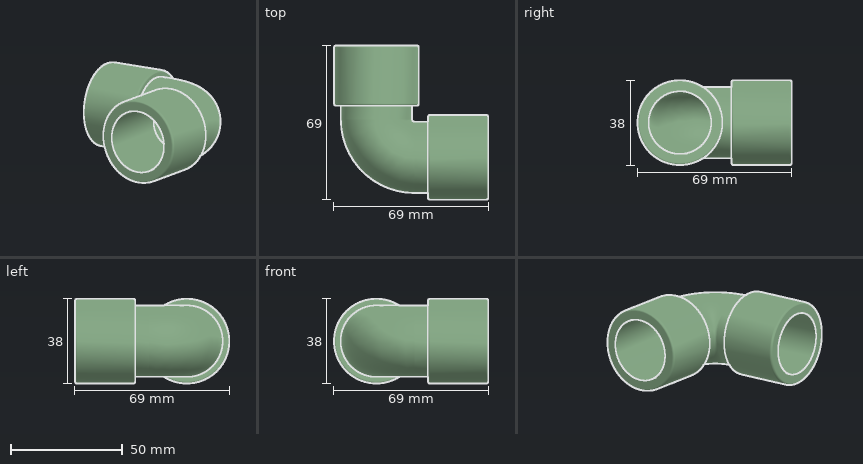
import cadquery as cq

neck_diameter = 32.0
collar_diameter = 38.0
bore_diameter = 28.0
bend_radius = 17.0
neck_length = 6.0
collar_length = 27.0
collar_edge_radius = 1.0

collar_start = bend_radius + neck_length
collar_end = collar_start + collar_length

legs = [cq.Plane.YZ(), cq.Plane.XZ().rotated((180, 0, 0))]


def rod(plane, diameter, start, end):
    """Solid cylinder along one leg, between two distances from the axis crossing."""
    return cq.Workplane(plane).workplane(offset=start).circle(diameter / 2).extrude(end - start)


def bend(diameter):
    """Solid quarter torus joining the two legs, centred at (bend_radius, bend_radius)."""
    return (
        cq.Workplane("YZ")
        .workplane(offset=bend_radius)
        .circle(diameter / 2)
        .revolve(90, (bend_radius, 1), (bend_radius, 0))
    )


def collar(plane):
    """Thick socket collar with both outer rims rounded."""
    return rod(plane, collar_diameter, collar_start, collar_end).edges("%CIRCLE").fillet(collar_edge_radius)


def elbow_body():
    body = bend(neck_diameter)
    for plane in legs:
        body = body.union(rod(plane, neck_diameter, bend_radius, collar_start))
        body = body.union(collar(plane))
    return body


def elbow_bore():
    bore = bend(bore_diameter)
    for plane in legs:
        bore = bore.union(rod(plane, bore_diameter, bend_radius, collar_end))
    return bore


result = elbow_body().cut(elbow_bore())